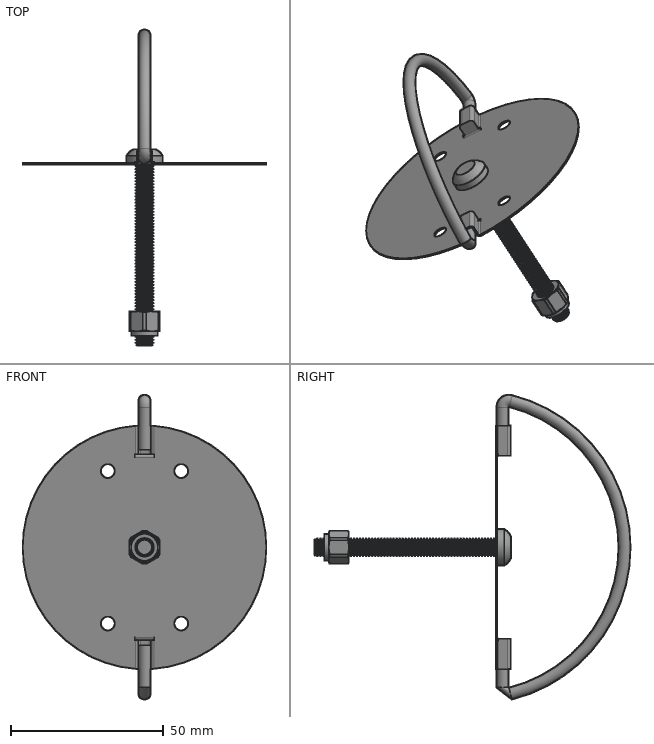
import cadquery as cq
import math


plate_dia = 80.0
plate_radius = plate_dia / 2
sheet = 0.5
mount_hole_dia = 4.5
mount_hole_x = 12.0
mount_hole_z = 25.0

pocket_half_width = 2.1
pocket_depth = 4.5
pocket_corner = 0.6
pocket_floor_z = 30.5
bend_radius = 0.9
floor_bend_half_width = 3.2

wire_dia = 4.0
leg_y = 2.3
leg_end_z = 32.1
leg_top_z = 46.0
handle_apex_y = 44.3
wire_bend_radius = 2.1

head_dia = 12.0
head_height = 4.6
head_rim_height = 2.3
head_flat_dia = 7.1
dome_mid_radius = 4.9
dome_mid_height = 3.7
shank_length = 60.0
thread_crest_dia = 6.0
thread_root_dia = 4.9
thread_count = 60
thread_flank_angle = 30
tip_ridge_dia = 5.4
tip_ridge_length = 0.2

nut_bore_dia = 6.1
nut_flats = 10.0
nut_start_y = -48.1
nut_hex_length = 6.5
nut_length = 8.1
nut_collar_dia = 8.8
nut_corner_cut = 0.6
nut_chamfer_angle = 30


def point_on_circle(center, radius, angle):
    """Point at the given angle, in degrees, on a circle."""
    turn = math.radians(angle)
    return (center[0] + radius * math.cos(turn), center[1] + radius * math.sin(turn))


def along_z(z):
    """Workplane parallel to XY at height z."""
    return cq.Workplane("XY").workplane(offset=z)


def disc(diameter, start_y, end_y):
    """Cylinder on the Y axis between two Y positions."""
    return cq.Workplane("XZ", origin=(0, end_y, 0)).circle(diameter / 2).extrude(end_y - start_y)


def pocket_section(z, offset):
    """Cross-section of the pocket in X and Y; offset 0 is its inside, offset sheet its outside.

    It reaches a little in front of the plate.
    """
    wall = pocket_half_width + offset
    back = pocket_depth + offset
    corner = pocket_corner + offset
    flare = bend_radius - offset
    mouth = wall + flare
    flare_right = point_on_circle((mouth, bend_radius), flare, 225)
    corner_right = point_on_circle((wall - corner, back - corner), corner, 45)
    return (
        along_z(z)
        .moveTo(mouth, offset)
        .threePointArc(flare_right, (wall, bend_radius))
        .lineTo(wall, back - corner)
        .threePointArc(corner_right, (wall - corner, back))
        .lineTo(corner - wall, back)
        .threePointArc((-corner_right[0], corner_right[1]), (-wall, back - corner))
        .lineTo(-wall, bend_radius)
        .threePointArc((-flare_right[0], flare_right[1]), (-mouth, offset))
        .lineTo(-mouth, -sheet)
        .lineTo(mouth, -sheet)
        .close()
    )


def pocket_end():
    """Closed end of the pocket and the bend that joins it to the plate."""
    bend_start_z = pocket_floor_z - bend_radius
    bend_center = (bend_radius, bend_start_z)
    bend = (
        cq.Workplane("YZ")
        .moveTo(0, bend_start_z)
        .threePointArc(point_on_circle(bend_center, bend_radius, 135), (bend_radius, pocket_floor_z))
        .lineTo(bend_radius, pocket_floor_z - sheet)
        .threePointArc(point_on_circle(bend_center, bend_radius - sheet, 135), (sheet, bend_start_z))
        .close()
        .extrude(floor_bend_half_width, both=True)
    )
    flap_depth = pocket_depth + sheet - bend_radius
    above_bend = cq.Workplane("XY").box(plate_dia, flap_depth, plate_dia, centered=(True, False, True))
    floor = (
        pocket_section(pocket_floor_z - sheet, sheet)
        .extrude(sheet)
        .intersect(above_bend.translate((0, bend_radius, 0)))
    )
    return bend.union(floor)


def pocket():
    """Upper pocket, open at its top end."""
    length = plate_radius - pocket_floor_z
    outside = pocket_section(pocket_floor_z, sheet).extrude(length)
    inside = pocket_section(pocket_floor_z, 0).extrude(length)
    return outside.cut(inside).union(pocket_end())


def pocket_opening():
    """Notch in the plate for the upper pocket and the wider slit for its end bend."""
    mouth = 2 * (pocket_half_width + bend_radius)
    notch = along_z(pocket_floor_z).rect(mouth, 2 * sheet).extrude(bend_radius + plate_radius - pocket_floor_z)
    slit = along_z(pocket_floor_z - bend_radius).rect(2 * floor_bend_half_width, 2 * sheet).extrude(bend_radius)
    return notch.union(slit)


def make_plate():
    """Sheet with two pressed pockets, trimmed together to a round outline."""
    plate = cq.Workplane("XY").box(plate_dia, sheet, plate_dia, centered=(True, False, True))
    plate = plate.cut(disc(thread_crest_dia, 0, sheet))
    mount_holes = (
        cq.Workplane("XZ", origin=(0, sheet, 0))
        .rect(2 * mount_hole_x, 2 * mount_hole_z, forConstruction=True)
        .vertices()
        .circle(mount_hole_dia / 2)
        .extrude(sheet)
    )
    plate = plate.cut(mount_holes)
    upper_pocket = pocket()
    upper_opening = pocket_opening()
    for turn in (0, 180):
        opening = upper_opening.rotate((0, 0, 0), (0, 1, 0), turn)
        plate = plate.cut(opening).union(upper_pocket.rotate((0, 0, 0), (0, 1, 0), turn))
    return plate.intersect(disc(plate_dia, 0, pocket_depth + sheet))


def make_handle():
    """Round wire: two legs joined to one large arc by a round upper bend and a straight lower elbow."""
    wire_radius = wire_dia / 2
    bend_y = leg_y + wire_bend_radius
    apex_y = handle_apex_y - wire_radius
    reach = apex_y - bend_y
    arc_radius = (reach**2 + leg_top_z**2 - wire_bend_radius**2) / (2 * (reach - wire_bend_radius))
    arc_center_y = apex_y - arc_radius
    tangent_angle = math.degrees(math.atan2(leg_top_z, bend_y - arc_center_y))
    bend_center = (bend_y, leg_top_z)
    bend_end = point_on_circle(bend_center, wire_bend_radius, tangent_angle)
    bend_middle = point_on_circle(bend_center, wire_bend_radius, (180 + tangent_angle) / 2)
    arc_end = (bend_end[0], -bend_end[1])
    path = (
        cq.Workplane("YZ")
        .moveTo(leg_y, leg_end_z)
        .lineTo(leg_y, leg_top_z)
        .threePointArc(bend_middle, bend_end)
        .threePointArc((apex_y, 0), arc_end)
    )
    upper_part = along_z(leg_end_z).center(0, leg_y).circle(wire_radius).sweep(path)

    arc_end_normal = (0, arc_end[1], arc_center_y - arc_end[0])
    arc_end_plane = cq.Plane((0, *arc_end), (1, 0, 0), arc_end_normal)
    leg_plane = cq.Plane((0, leg_y, -leg_top_z), (1, 0, 0), (0, 0, 1))
    end_circles = [
        cq.Workplane(plane).circle(wire_radius).wires().val() for plane in (arc_end_plane, leg_plane)
    ]
    elbow = cq.Solid.makeLoft(end_circles, True)
    lower_leg = cq.Workplane(leg_plane).circle(wire_radius).extrude(leg_top_z - leg_end_z)
    return upper_part.union(elbow).union(lower_leg)


def make_bolt():
    """Domed bolt with ring-shaped threads, turned about the Y axis."""
    seat_y = sheet
    tip_y = seat_y - shank_length
    crest = thread_crest_dia / 2
    root = thread_root_dia / 2
    pitch = shank_length / thread_count
    half_tooth = (crest - root) * math.tan(math.radians(thread_flank_angle))
    profile = (
        cq.Workplane("XY")
        .moveTo(0, seat_y + head_height)
        .lineTo(head_flat_dia / 2, seat_y + head_height)
        .threePointArc((dome_mid_radius, seat_y + dome_mid_height), (head_dia / 2, seat_y + head_rim_height))
        .lineTo(head_dia / 2, seat_y)
        .lineTo(root, seat_y)
    )
    for tooth in range(1, thread_count):
        crest_y = seat_y - tooth * pitch
        profile = (
            profile.lineTo(root, crest_y + half_tooth)
            .lineTo(crest, crest_y)
            .lineTo(root, crest_y - half_tooth)
        )
    profile = (
        profile.lineTo(root, tip_y + half_tooth)
        .lineTo(tip_ridge_dia / 2, tip_y + tip_ridge_length)
        .lineTo(root, tip_y)
        .lineTo(0, tip_y)
        .close()
    )
    return profile.revolve(360, (0, 0, 0), (0, 1, 0))


def make_nut():
    """Hexagon nut with a round locking collar on its outer end."""
    hex_end_y = nut_start_y - nut_hex_length
    corner_dia = nut_flats / math.cos(math.radians(30))
    hexagon = (
        cq.Workplane("XZ", origin=(0, nut_start_y, 0))
        .transformed(rotate=(0, 0, 30))
        .polygon(6, corner_dia)
        .extrude(nut_hex_length)
        .edges("|Y")
        .chamfer(nut_corner_cut)
    )
    face_radius = nut_flats / 2
    outer_radius = corner_dia / 2
    drop = (outer_radius - face_radius) * math.tan(math.radians(nut_chamfer_angle))
    turned_blank = (
        cq.Workplane("XY")
        .moveTo(0, nut_start_y)
        .lineTo(face_radius, nut_start_y)
        .lineTo(outer_radius, nut_start_y - drop)
        .lineTo(outer_radius, hex_end_y + drop)
        .lineTo(face_radius, hex_end_y)
        .lineTo(0, hex_end_y)
        .close()
        .revolve(360, (0, 0, 0), (0, 1, 0))
    )
    nut_end_y = nut_start_y - nut_length
    collar = disc(nut_collar_dia, nut_end_y, hex_end_y)
    bore = disc(nut_bore_dia, nut_end_y, nut_start_y)
    return hexagon.intersect(turned_blank).union(collar).cut(bore)


plate = make_plate()
handle = make_handle()
bolt = make_bolt()
nut = make_nut()

result = cq.Compound.makeCompound([plate.val(), handle.val(), bolt.val(), nut.val()])